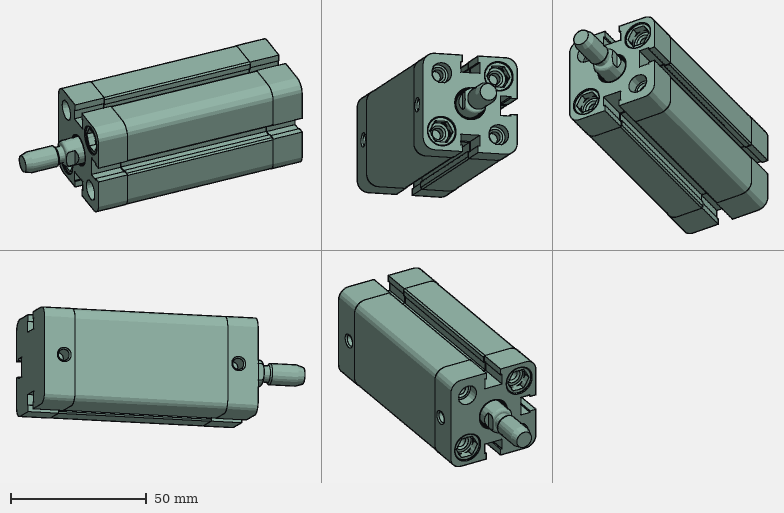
import cadquery as cq

TOTAL_LENGTH = 104.6
WIDTH = 36.3
ROD_REACH = 22.5
CAP_LENGTH = 11.7
BODY_LENGTH = TOTAL_LENGTH - ROD_REACH
BARREL_LENGTH = BODY_LENGTH - 2 * CAP_LENGTH
CAP_CORNER_RADIUS = 4.4
BARREL_CORNER_RADIUS = 4.7

CAP_SLOT = (6.1, 7.3, 2.5, 6.5)
BARREL_SLOT = (5.3, 6.5, 2.7, 6.1)
BARREL_SLOT_CHAMFER = 0.6
SLOT_ANGLES = (0, 90, 180)

HOLE_OFFSET = 11.0
HOLE_BORE = 7.5
HOLE_BORE_DEPTH = 4.4
THREAD_BORE = 4.2
THREAD_MOUTH = 5.8
THREAD_DEPTH = 4.2
HEX_HOLE_BORE = 8.0
HEX_CORNERS = 9.0
HEX_DEPTH = 3.1
COUNTERBORE = 10.5
COUNTERBORE_MOUTH = 11.1
COUNTERBORE_DEPTH = 0.5

PORT_SETBACK = 7.5
PORT_BORE = 4.2
PORT_MOUTH = 5.3
PORT_FLOOR_X = -9.8
CORE_DIAMETER = 20.0

RELIEF_BORE = 10.9
RELIEF_RIM = 11.4
RELIEF_MOUTH = 12.0
RELIEF_RIM_DEPTH = 0.5
RELIEF_DEPTH = 1.6

ROD_DIAMETER = 10.0
SHOULDER_END = 6.6
SHOULDER_ROUND = 1.3
NECK_DIAMETER = 6.2
NECK_FILLET = 0.2
THREAD_START = 9.1
THREAD_DIAMETER = 8.0
THREAD_START_CHAMFER = 0.6
TIP_DIAMETER = 6.3
TIP_START = 19.8
FLAT_WIDTH = 8.0
FLAT_START = 3.1


def prism(start, length, corner_radius):
    """Square bar with rounded edges, running along +Y from `start`."""
    bar = cq.Workplane("XY").box(WIDTH, length, WIDTH, centered=(True, False, True))
    return bar.edges("|Y").fillet(corner_radius).translate((0, start, 0))


def slots(start, length, sizes, chamfer=0.0):
    """T-slot cutters for the three slotted sides, with an optional chamfer at the mouth."""
    mouth, inner, lip_depth, depth = (sizes[0] / 2, sizes[1] / 2, sizes[2], sizes[3])
    top = WIDTH / 2
    half = [
        (mouth + chamfer, top),
        (mouth, top - chamfer),
        (mouth, top - lip_depth),
        (inner, top - lip_depth),
        (inner, top - depth),
    ]
    if chamfer == 0:
        half = half[1:]
    outline = half + [(-x, z) for x, z in reversed(half)]
    slot = cq.Workplane("XZ", origin=(0, start, 0)).polyline(outline).close().extrude(-length)
    cutters = cq.Workplane("XY")
    for angle in SLOT_ANGLES:
        cutters = cutters.add(slot.rotate((0, 0, 0), (0, 1, 0), angle))
    return cutters.combine()


def turned(profile):
    """Solid of revolution about the Y axis from (radius, y) points."""
    return cq.Workplane("XY").polyline(profile).close().revolve(360, (0, 0, 0), (0, 1, 0))


def plain_bore(diameter, depth):
    """Round cutter from Y = 0 inwards."""
    return cq.Workplane("XZ").circle(diameter / 2).extrude(-depth)


def chamfered_bore(mouth, bore, depth):
    """Round cutter from Y = 0 inwards with a 45 degree chamfer at its mouth."""
    chamfer = (mouth - bore) / 2
    return turned([(0, 0), (mouth / 2, 0), (bore / 2, chamfer), (bore / 2, depth), (0, depth)])


def mounting_hole(bore_diameter):
    """Plain bore with a tapped hole in its floor."""
    bore = plain_bore(bore_diameter, HOLE_BORE_DEPTH)
    thread = chamfered_bore(THREAD_MOUTH, THREAD_BORE, THREAD_DEPTH)
    return bore.union(thread.translate((0, HOLE_BORE_DEPTH, 0)))


def hex_mounting_hole():
    """Mounting hole with a chamfered counterbore and a hexagonal socket at its mouth."""
    counterbore = chamfered_bore(COUNTERBORE_MOUTH, COUNTERBORE, COUNTERBORE_DEPTH)
    socket = cq.Workplane("XZ").polygon(6, HEX_CORNERS).extrude(-HEX_DEPTH)
    return mounting_hole(HEX_HOLE_BORE).union(counterbore).union(socket)


def port(y):
    """Chamfered side port whose floor is met by the round core of the cap."""
    depth = WIDTH / 2 + PORT_FLOOR_X
    cutter = chamfered_bore(PORT_MOUTH, PORT_BORE, depth).rotate((0, 0, 0), (0, 0, 1), -90)
    core = plain_bore(CORE_DIAMETER, BODY_LENGTH)
    return cutter.translate((-WIDTH / 2, y, 0)).cut(core)


def make_cap(start, port_y):
    """End cap blank with its slots and side port."""
    cap = prism(start, CAP_LENGTH, CAP_CORNER_RADIUS)
    return cap.cut(slots(start, CAP_LENGTH, CAP_SLOT)).cut(port(port_y))


def make_front_cap():
    """Cap with two plain and two hexagonal mounting holes and the rod passage."""
    cap = make_cap(0, PORT_SETBACK)
    for side in (-1, 1):
        plain_hole = mounting_hole(HOLE_BORE)
        cap = cap.cut(plain_hole.translate((side * HOLE_OFFSET, 0, -side * HOLE_OFFSET)))
        cap = cap.cut(hex_mounting_hole().translate((side * HOLE_OFFSET, 0, side * HOLE_OFFSET)))
    cap = cap.cut(chamfered_bore(RELIEF_MOUTH, RELIEF_RIM, RELIEF_RIM_DEPTH))
    cap = cap.cut(plain_bore(RELIEF_BORE, RELIEF_DEPTH))
    return cap.cut(plain_bore(ROD_DIAMETER, CAP_LENGTH))


def make_rear_cap():
    """Cap with its port mirrored from the front cap."""
    return make_cap(BODY_LENGTH - CAP_LENGTH, BODY_LENGTH - PORT_SETBACK)


def make_barrel():
    """Slotted bar between the two caps."""
    barrel = prism(CAP_LENGTH, BARREL_LENGTH, BARREL_CORNER_RADIUS)
    return barrel.cut(slots(CAP_LENGTH, BARREL_LENGTH, BARREL_SLOT, BARREL_SLOT_CHAMFER))


def wrench_flat():
    """Cutter for the flat on the +X side of the rod, with a 45 degree run-out."""
    flat_x = FLAT_WIDTH / 2
    run = ROD_DIAMETER - flat_x
    outline = [
        (flat_x, -FLAT_START),
        (flat_x + run, -FLAT_START + run),
        (flat_x + run, -SHOULDER_END),
        (flat_x, -SHOULDER_END),
    ]
    return cq.Workplane("XY").polyline(outline).close().extrude(ROD_DIAMETER / 2, both=True)


def make_rod():
    """Rod with a rounded shoulder, a filleted neck, a tapered tip and two wrench flats."""
    rod_radius = ROD_DIAMETER / 2
    neck_radius = NECK_DIAMETER / 2
    thread_radius = THREAD_DIAMETER / 2
    rod = (
        cq.Workplane("XY")
        .moveTo(0, CAP_LENGTH)
        .lineTo(rod_radius, CAP_LENGTH)
        .lineTo(rod_radius, SHOULDER_ROUND - SHOULDER_END)
        .radiusArc((rod_radius - SHOULDER_ROUND, -SHOULDER_END), SHOULDER_ROUND)
        .lineTo(neck_radius + NECK_FILLET, -SHOULDER_END)
        .radiusArc((neck_radius, -SHOULDER_END - NECK_FILLET), -NECK_FILLET)
        .lineTo(neck_radius, -THREAD_START + NECK_FILLET)
        .radiusArc((neck_radius + NECK_FILLET, -THREAD_START), -NECK_FILLET)
        .lineTo(thread_radius - THREAD_START_CHAMFER, -THREAD_START)
        .lineTo(thread_radius, -THREAD_START - THREAD_START_CHAMFER)
        .lineTo(thread_radius, -TIP_START)
        .lineTo(TIP_DIAMETER / 2, -ROD_REACH)
        .lineTo(0, -ROD_REACH)
        .close()
        .revolve(360, (0, 0, 0), (0, 1, 0))
    )
    flat = wrench_flat()
    return rod.cut(flat).cut(flat.mirror("YZ"))


front_cap = make_front_cap()
rear_cap = make_rear_cap()
barrel = make_barrel()
rod = make_rod()

result = cq.Compound.makeCompound([front_cap.val(), barrel.val(), rear_cap.val(), rod.val()])